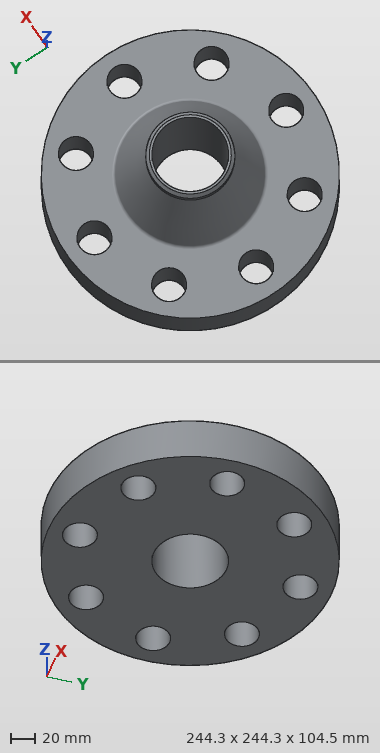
import cadquery as cq

flange_diameter = 244.3
flange_thickness = 41.0

total_height = 104.5
neck_diameter = 73.0
neck_straight_length = 8.8
cone_base_diameter = 124.0
cone_root_fillet = 3.0
weld_bevel = 3.0

bore_diameter = 62.8
bolt_count = 8
bolt_circle_diameter = 190.5
bolt_hole_diameter = 28.5


def make_flange_with_neck():
    """Revolve the solid outer shape: disc, conical hub and bevelled weld end."""
    flange_radius = flange_diameter / 2
    neck_radius = neck_diameter / 2
    cone_base_radius = cone_base_diameter / 2
    cone_top = total_height - neck_straight_length
    profile = (
        cq.Workplane("XZ")
        .moveTo(0, 0)
        .lineTo(flange_radius, 0)
        .lineTo(flange_radius, flange_thickness)
        .lineTo(cone_base_radius, flange_thickness)
        .lineTo(neck_radius, cone_top)
        .lineTo(neck_radius, total_height - weld_bevel)
        .lineTo(neck_radius - weld_bevel, total_height)
        .lineTo(0, total_height)
        .close()
    )
    return profile.revolve(360, (0, 0, 0), (0, 1, 0))


def fillet_cone_root(body):
    """Round the inside corner where the cone meets the top of the disc."""
    reach = cone_base_diameter / 2 + cone_root_fillet
    around_root = cq.selectors.BoxSelector(
        (-reach, -reach, flange_thickness - cone_root_fillet),
        (reach, reach, flange_thickness + cone_root_fillet),
        boundingbox=True,
    )
    return body.edges(around_root).fillet(cone_root_fillet)


def make_bore():
    return cq.Workplane("XY").circle(bore_diameter / 2).extrude(total_height)


def make_bolt_holes():
    return (
        cq.Workplane("XY")
        .polarArray(bolt_circle_diameter / 2, 0, 360, bolt_count)
        .circle(bolt_hole_diameter / 2)
        .extrude(flange_thickness)
    )


body = fillet_cone_root(make_flange_with_neck())
result = body.cut(make_bore()).cut(make_bolt_holes())